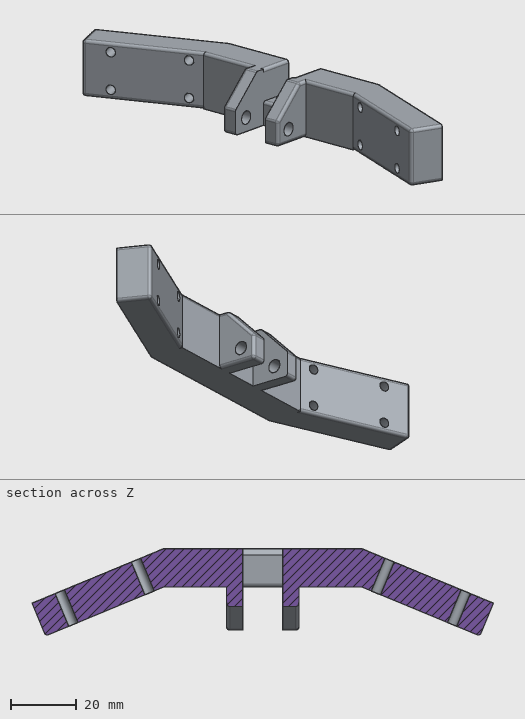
import cadquery as cq
import math

HEIGHT = 18.0
HALF_SPAN = 70.0
BODY_DEPTH = 11.71
BEND_X = 30.0
WING_ANGLE = 22.5
EDGE_RADIUS = 1.0

SLOT_WIDTH = 12.0
BRIDGE_HEIGHT = 7.7
BRIDGE_BACK_CHAMFER = 2.0

LUG_THICKNESS = 5.0
LUG_REACH = 13.0
LUG_NOSE_HEIGHT = 8.0
PIN_DIAMETER = 4.2
PIN_FROM_FRONT = 5.0
PIN_HEIGHT = 4.5

HOLE_DIAMETER = 3.0
HOLE_SPACING = 25.0
HOLE_EDGE_DISTANCE = 3.0
HOLE_OVERRUN = 2.0

SLOT_X = SLOT_WIDTH / 2
LUG_FRONT = BODY_DEPTH + LUG_REACH
LUG_SLOPE_START = LUG_FRONT - (HEIGHT - LUG_NOSE_HEIGHT)
LUG_OUTER_X = SLOT_X + LUG_THICKNESS
ANGLE = math.radians(WING_ANGLE)
WING_LENGTH = (HALF_SPAN - BEND_X) / math.cos(ANGLE)
HOLE_FIRST = (WING_LENGTH - HOLE_SPACING) / 2
WING_DEPTH = BODY_DEPTH * math.cos(ANGLE)
HOLE_DEPTH = WING_DEPTH + 2 * HOLE_OVERRUN
WING_TIP = (HALF_SPAN, -WING_LENGTH * math.sin(ANGLE))
WING_FRONT_TIP = (
    WING_TIP[0] - WING_DEPTH * math.sin(ANGLE),
    WING_TIP[1] - WING_DEPTH * math.cos(ANGLE),
)


def edges_near(*points):
    """Select, for each given point, the edge whose middle lies nearest to it."""
    selector = cq.selectors.NearestToPointSelector(points[0])
    for point in points[1:]:
        selector = selector + cq.selectors.NearestToPointSelector(point)
    return selector


def midpoint(start, end):
    """Point halfway between two points of a plane."""
    return ((start[0] + end[0]) / 2, (start[1] + end[1]) / 2)


def make_wing():
    """Sloping wing, rounded around its end face and along its front face."""
    bend_back = (BEND_X, 0)
    bend_front = (BEND_X, -BODY_DEPTH)
    outline = [bend_back, WING_TIP, WING_FRONT_TIP, bend_front]
    wing = cq.Workplane("XY").polyline(outline).close().extrude(HEIGHT)
    end_middle = midpoint(WING_TIP, WING_FRONT_TIP)
    front_middle = midpoint(WING_FRONT_TIP, bend_front)
    rounded = edges_near(
        (*end_middle, 0),
        (*end_middle, HEIGHT),
        (*front_middle, 0),
        (*front_middle, HEIGHT),
        (*WING_FRONT_TIP, HEIGHT / 2),
    )
    return wing.edges(rounded).fillet(EDGE_RADIUS)


def make_body():
    """Straight block from the slot to the bend, rounded on its top front edge."""
    width = BEND_X - SLOT_X
    body = cq.Workplane("XY").box(width, BODY_DEPTH, HEIGHT, centered=False)
    body = body.translate((SLOT_X, -BODY_DEPTH, 0))
    return body.edges(">Z and <Y").fillet(EDGE_RADIUS)


def make_slot_edge_cutter():
    """Corner sliver that rounds the upper slot edge of the body and stops at the lug."""
    center_x = SLOT_X + EDGE_RADIUS
    center_z = HEIGHT - EDGE_RADIUS
    section = cq.Workplane("XZ").moveTo(SLOT_X, center_z)
    arc_reach = EDGE_RADIUS * math.cos(math.radians(45))
    section = section.threePointArc((center_x - arc_reach, center_z + arc_reach), (center_x, HEIGHT))
    return section.lineTo(SLOT_X, HEIGHT).close().extrude(BODY_DEPTH)


def make_lug():
    """Hinge lug with a sloping nose, rounded on its outer edges and across its nose."""
    profile = [
        (0, 0),
        (-LUG_FRONT, 0),
        (-LUG_FRONT, LUG_NOSE_HEIGHT),
        (-LUG_SLOPE_START, HEIGHT),
        (0, HEIGHT),
    ]
    lug = cq.Workplane("YZ").polyline(profile).close().extrude(LUG_THICKNESS)
    middle = LUG_THICKNESS / 2
    slope_middle = midpoint(profile[2], profile[3])
    outer_edges = edges_near(
        (LUG_THICKNESS, -LUG_SLOPE_START / 2, HEIGHT),
        (LUG_THICKNESS, *slope_middle),
        (LUG_THICKNESS, -LUG_FRONT, LUG_NOSE_HEIGHT / 2),
    )
    nose_edges = edges_near(
        (middle, -LUG_FRONT, 0),
        (middle, -LUG_FRONT, LUG_NOSE_HEIGHT),
        (middle, -LUG_SLOPE_START, HEIGHT),
    )
    lug = lug.edges(outer_edges).fillet(EDGE_RADIUS)
    lug = lug.edges(nose_edges).fillet(EDGE_RADIUS)
    lug = lug.translate((SLOT_X, 0, 0))
    root_depth = BODY_DEPTH - EDGE_RADIUS
    behind = cq.Workplane("XY").box(LUG_OUTER_X, root_depth, HEIGHT, centered=False)
    return lug.cut(behind.translate((0, -root_depth, 0)))


def make_bridge():
    """Low bar below the slot, its upper edge rounded in front and chamfered at the back."""
    bridge = cq.Workplane("XY").box(SLOT_WIDTH, BODY_DEPTH, BRIDGE_HEIGHT, centered=False)
    bridge = bridge.translate((-SLOT_X, -BODY_DEPTH, 0))
    bridge = bridge.edges(">Z and <Y").fillet(EDGE_RADIUS)
    return bridge.edges(">Z and >Y").chamfer(BRIDGE_BACK_CHAMFER)


def make_wing_holes():
    """Four drills square to the wing faces, in two rows along the wing."""
    drills = cq.Workplane("XY")
    inward = cq.Vector(-math.sin(ANGLE), -math.cos(ANGLE), 0)
    for distance in (HOLE_FIRST, HOLE_FIRST + HOLE_SPACING):
        x = BEND_X + distance * math.cos(ANGLE)
        y = -distance * math.sin(ANGLE)
        for z in (HOLE_EDGE_DISTANCE, HEIGHT - HOLE_EDGE_DISTANCE):
            start = cq.Vector(x, y, z) - inward * HOLE_OVERRUN
            drill = cq.Solid.makeCylinder(HOLE_DIAMETER / 2, HOLE_DEPTH, start, inward)
            drills = drills.add(drill)
    return drills.combine()


def make_pin_hole():
    """Cross hole through the lug for the hinge pin."""
    return (
        cq.Workplane("YZ", origin=(SLOT_X, 0, 0))
        .center(PIN_FROM_FRONT - LUG_FRONT, PIN_HEIGHT)
        .circle(PIN_DIAMETER / 2)
        .extrude(LUG_THICKNESS)
    )


half = make_body().union(make_wing()).union(make_lug())
half = half.cut(make_slot_edge_cutter()).cut(make_wing_holes()).cut(make_pin_hole())
result = half.union(half.mirror("YZ")).union(make_bridge())